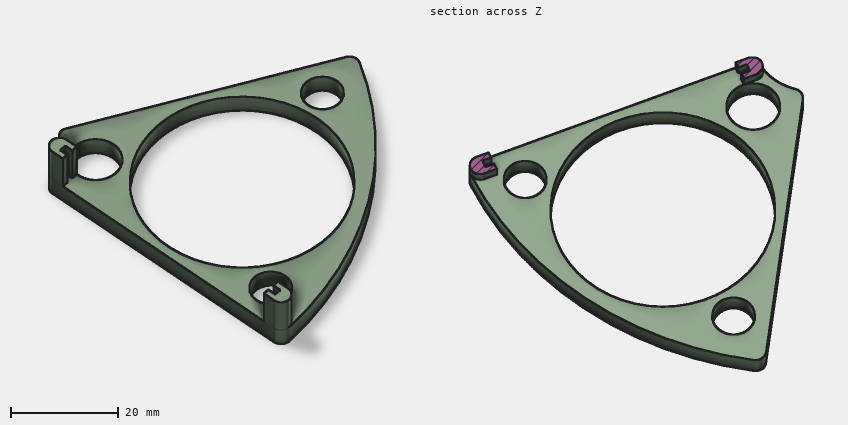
import cadquery as cq
import math

plate_thickness = 4.0
edge_offset = 23.0
sector_radius = 70.0
tip_cut_radius = 11.0
corner_radius = 2.0
symmetry_angle = 30
sector_half_angle = 30
tip_distance = edge_offset / math.sin(math.radians(sector_half_angle))

bore_diameter = 42.0
tip_hole_diameter = 10.0
tip_hole_distance = 27.95
outer_hole_diameter = 8.0
outer_hole_distance = 26.55
outer_hole_angle = 67

total_height = 12.0
post_height = total_height - plate_thickness
post_flat_length = 2.55
groove_width = 1.4
groove_depth = 1.7


def polar(distance, angle):
    """Point at a distance and an angle in degrees from the bore axis."""
    radians = math.radians(angle)
    return distance * math.cos(radians), distance * math.sin(radians)


tip_x, tip_y = polar(tip_distance, symmetry_angle + 180)


def from_tip(distance, angle):
    """Point at a distance and an angle in degrees from the sector tip."""
    x, y = polar(distance, angle)
    return tip_x + x, tip_y + y


def make_plate():
    start_angle = symmetry_angle - sector_half_angle
    end_angle = symmetry_angle + sector_half_angle
    outline = (
        cq.Workplane("XY")
        .moveTo(*from_tip(tip_cut_radius, start_angle))
        .lineTo(*from_tip(sector_radius, start_angle))
        .threePointArc(from_tip(sector_radius, symmetry_angle), from_tip(sector_radius, end_angle))
        .lineTo(*from_tip(tip_cut_radius, end_angle))
        .threePointArc(from_tip(tip_cut_radius, symmetry_angle), from_tip(tip_cut_radius, start_angle))
        .close()
    )
    return outline.extrude(plate_thickness).edges("|Z").fillet(corner_radius)


def cut_holes(plate):
    outer_holes = [
        polar(outer_hole_distance, symmetry_angle + side * outer_hole_angle)
        for side in (-1, 1)
    ]
    tip_hole = polar(tip_hole_distance, symmetry_angle + 180)
    plate = plate.faces(">Z").workplane(origin=(0, 0, 0)).hole(bore_diameter)
    plate = plate.faces(">Z").workplane(origin=(0, 0, 0)).pushPoints([tip_hole]).hole(tip_hole_diameter)
    return plate.faces(">Z").workplane(origin=(0, 0, 0)).pushPoints(outer_holes).hole(outer_hole_diameter)


def make_post(round_x, inward):
    """Post with a round outer end; inward is +1 or -1 along X towards the other post."""
    center_y = corner_radius - edge_offset
    flat_x = round_x + inward * post_flat_length
    base = cq.Workplane("XY", origin=(0, 0, plate_thickness))
    round_end = base.center(round_x, center_y).circle(corner_radius).extrude(post_height)
    body = (
        base.center((round_x + flat_x) / 2, center_y)
        .rect(post_flat_length, 2 * corner_radius)
        .extrude(post_height)
    )
    groove = (
        base.center(flat_x - inward * groove_depth / 2, center_y)
        .rect(groove_depth, groove_width)
        .extrude(post_height)
    )
    return round_end.union(body).cut(groove)


left_post_x = tip_x + math.sqrt((tip_cut_radius + corner_radius) ** 2 - corner_radius ** 2)
right_post_x = tip_x + math.sqrt((sector_radius - corner_radius) ** 2 - corner_radius ** 2)

result = (
    cut_holes(make_plate())
    .union(make_post(left_post_x, 1), clean=False)
    .union(make_post(right_post_x, -1), clean=False)
)